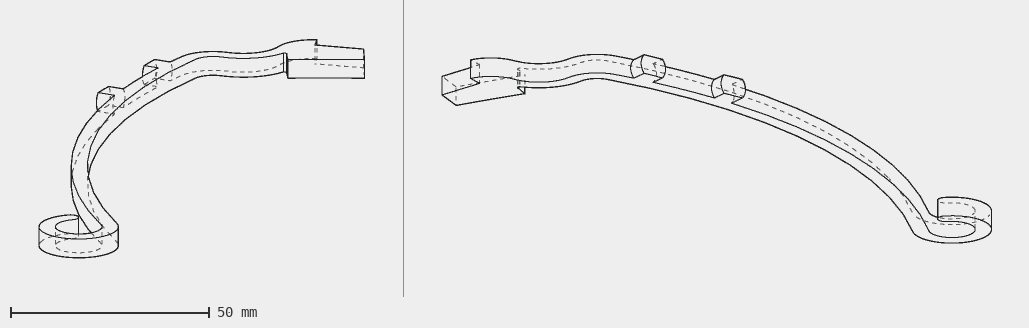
import cadquery as cq
import math


thickness = 5.0
strip_width = 4.1
half_width = strip_width / 2

eye_radius = 8.0
arm_radius = 153.5
shoulder_radius = 7.5
neck_radius = 11.9

eye_end_angle = 133.0
eye_to_arm_angle = 45.7
arm_top_angle = 172.9
shoulder_top_angle = 94.6
neck_top_angle = 3.0
notch_angle = -16.0

head_back_middle = (-22.1, 159.4)
head_tip = (-18.0, 162.6)
head_inner_corner = (-16.4, 158.7)
head_upper_corner = (-4.0, 161.5)
head_outer_corner = (0.2, 154.0)
head_underside_middle = (-9.0, 149.4)
head_toe = (-17.0, 145.0)
notch_side = (-19.0, 148.3)
notch_top = (-19.7, 149.2)

pin_diameter = 7.6
pin_end_x = -46.6
pin_heights = (101.7, 126.5)


def polar(center, radius, angle):
    """Point at the given distance and direction from a centre."""
    turn = math.radians(angle)
    return (center[0] + radius * math.cos(turn), center[1] + radius * math.sin(turn))


def plate():
    return cq.Workplane("XY").workplane(offset=-thickness / 2)


def curved_strip(center, radius, start, end):
    """Strip of constant width bent around a centre, between two directions."""
    inner = radius - half_width
    outer = radius + half_width
    middle = (start + end) / 2
    return (
        plate()
        .moveTo(*polar(center, inner, start))
        .threePointArc(polar(center, inner, middle), polar(center, inner, end))
        .lineTo(*polar(center, outer, end))
        .threePointArc(polar(center, outer, middle), polar(center, outer, start))
        .close()
        .extrude(thickness)
    )


eye_center = (0.0, 0.0)
arm_center = polar(eye_center, eye_radius + arm_radius, eye_to_arm_angle)
shoulder_center = polar(arm_center, arm_radius - shoulder_radius, arm_top_angle)
neck_center = polar(shoulder_center, shoulder_radius + neck_radius, shoulder_top_angle)


def make_strip():
    """Eye with its rounded free end, arm, shoulder and neck."""
    eye = curved_strip(eye_center, eye_radius, eye_end_angle, eye_to_arm_angle + 360)
    tip_center = polar(eye_center, eye_radius, eye_end_angle)
    eye_end = plate().center(*tip_center).circle(half_width).extrude(thickness)
    arm = curved_strip(arm_center, arm_radius, arm_top_angle, eye_to_arm_angle + 180)
    shoulder = curved_strip(shoulder_center, shoulder_radius, shoulder_top_angle, arm_top_angle)
    neck = curved_strip(neck_center, neck_radius, shoulder_top_angle - 180, neck_top_angle)
    return eye.union(eye_end).union(arm).union(shoulder).union(neck)


def make_head():
    """Catch head that carries on from the neck."""
    back_start = polar(neck_center, neck_radius - half_width, neck_top_angle)
    notch_start = polar(neck_center, neck_radius + half_width, notch_angle)
    return (
        plate()
        .moveTo(*back_start)
        .threePointArc(head_back_middle, head_tip)
        .lineTo(*head_inner_corner)
        .lineTo(*head_upper_corner)
        .lineTo(*head_outer_corner)
        .threePointArc(head_underside_middle, head_toe)
        .lineTo(*notch_side)
        .threePointArc(notch_top, notch_start)
        .close()
        .extrude(thickness)
    )


def make_pin(height):
    """Flattened pin that reaches from its end face to the mid-line of the arm."""
    rise = height - arm_center[1]
    root_x = arm_center[0] - math.sqrt(arm_radius**2 - rise**2)
    length = root_x - pin_end_x
    bar = cq.Workplane("YZ").center(height, 0).circle(pin_diameter / 2).extrude(length)
    slab = cq.Workplane("YZ").center(height, 0).rect(pin_diameter, thickness).extrude(length)
    return bar.intersect(slab).translate((pin_end_x, 0, 0))


result = make_strip().union(make_head())
for pin_height in pin_heights:
    result = result.union(make_pin(pin_height))